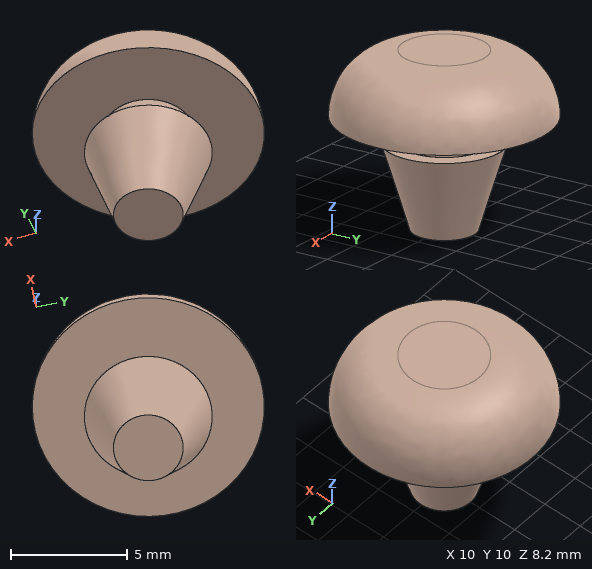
import cadquery as cq
import math

head_radius = 5
head_height = 3
neck_radius = 2
neck_height = 1.2
barb_top_radius = 2.75
barb_tip_radius = 1.5
barb_height = 4

neck_bottom = -neck_height
barb_tip = neck_bottom - barb_height

flat_radius = head_radius - head_height
arc_mid_offset = head_height * math.cos(math.pi / 4)

profile = (
    cq.Workplane("XZ")
    .moveTo(0, barb_tip)
    .lineTo(barb_tip_radius, barb_tip)
    .lineTo(barb_top_radius, neck_bottom)
    .lineTo(neck_radius, neck_bottom)
    .lineTo(neck_radius, 0)
    .lineTo(head_radius, 0)
    .threePointArc((flat_radius + arc_mid_offset, arc_mid_offset), (flat_radius, head_height))
    .lineTo(0, head_height)
    .close()
)

result = profile.revolve(360, (0, 0, 0), (0, 1, 0))